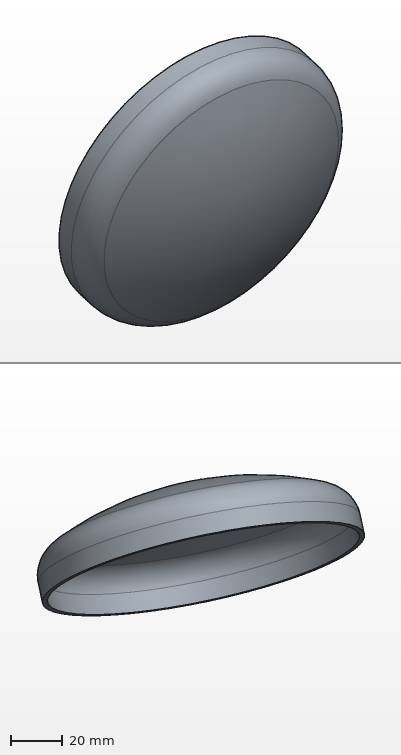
import cadquery as cq
import math

outer_diameter = 129.0
inner_diameter = 125.0
total_depth = 32.6
skirt_length = 8.1
knuckle_radius = 12.9

outer_radius = outer_diameter / 2
wall = (outer_diameter - inner_diameter) / 2

knuckle_center_radius = outer_radius - knuckle_radius
dome_depth = total_depth - skirt_length
crown_radius = (knuckle_center_radius**2 + dome_depth**2 - knuckle_radius**2) / (
    2 * (dome_depth - knuckle_radius)
)
crown_center_x = total_depth - crown_radius

seam_angle = math.asin(knuckle_center_radius / (crown_radius - knuckle_radius))


def crown_point(radius, angle):
    """Point on a sphere about the crown center, as (x, distance from axis)."""
    return (crown_center_x + radius * math.cos(angle), radius * math.sin(angle))


def knuckle_point(radius, angle):
    """Point on a circle about the knuckle center, as (x, distance from axis)."""
    return (
        skirt_length + radius * math.cos(angle),
        knuckle_center_radius + radius * math.sin(angle),
    )


def dished_solid(offset):
    """Solid of revolution bounded by the outer surface moved inward by offset."""
    skirt_radius = outer_radius - offset
    crown = crown_radius - offset
    knuckle = knuckle_radius - offset
    knuckle_mid_angle = (seam_angle + math.pi / 2) / 2
    profile = (
        cq.Workplane("XY")
        .lineTo(0, skirt_radius)
        .lineTo(skirt_length, skirt_radius)
        .threePointArc(knuckle_point(knuckle, knuckle_mid_angle), knuckle_point(knuckle, seam_angle))
        .threePointArc(crown_point(crown, seam_angle / 2), crown_point(crown, 0))
        .close()
    )
    return profile.revolve(360, (0, 0, 0), (1, 0, 0))


result = dished_solid(0).cut(dished_solid(wall))